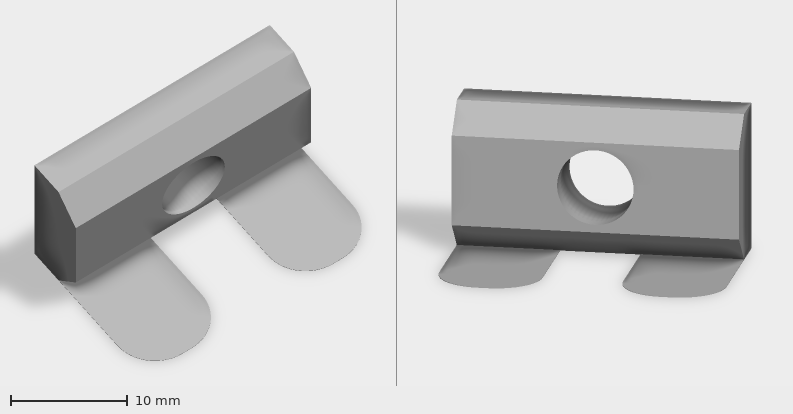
import cadquery as cq

block_length = 25.0
block_depth = 6.0
block_height = 13.0
chamfer = 2.5
hole_diameter = 6.65

overall_depth = 16.0
tab_width = 9.0
tab_thickness = 0.05
tab_corner_radius = 4.0
tab_offset = (block_length - tab_width) / 2


def make_block():
    """Bar along Y with both +X edges chamfered and a central hole along X."""
    bar = cq.Workplane("XY").box(
        block_depth, block_length, block_height, centered=(False, True, False)
    )
    bar = bar.faces(">X").edges("|Y").chamfer(chamfer)
    hole = (
        cq.Workplane("YZ")
        .center(0, block_height / 2)
        .circle(hole_diameter / 2)
        .extrude(block_depth)
    )
    return bar.cut(hole)


def make_tab(y_center):
    """Thin tongue from the back of the block, with rounded free corners."""
    return (
        cq.Workplane("XY")
        .center(0, y_center)
        .box(overall_depth, tab_width, tab_thickness, centered=(False, True, False))
        .edges("|Z and >X")
        .fillet(tab_corner_radius)
    )


result = make_block()
for y_center in (-tab_offset, tab_offset):
    result = result.union(make_tab(y_center))